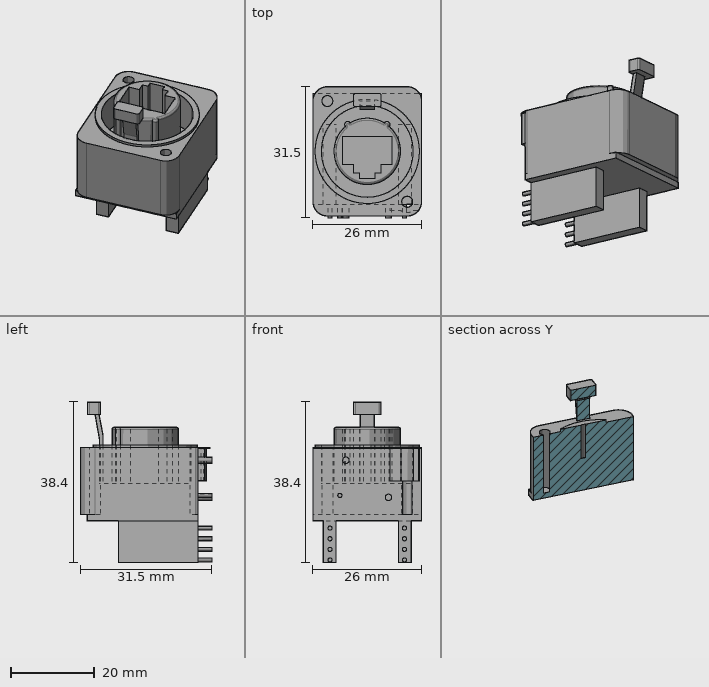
import cadquery as cq

body_bottom = 10.0
base_top = 11.52
cavity_floor = 18.97
lock_block_bottom = 19.55
flange_bottom = 27.25
flange_top = 27.57
rim_top = 28.2
sleeve_top = 32.4
button_bottom = 35.45
button_top = 38.4

flange_width = 26.0
flange_depth = 31.0
corner_radius = 3.45

front_face = -12.67
base_back = 13.9

rim_radius = 12.48
cavity_radius = 11.0
sleeve_radius = 7.95
sleeve_edge_radius = 0.5
key_radius = 0.73
key_x = 4.7

screw_x = flange_width / 2 - corner_radius
screw_y = flange_depth / 2 - corner_radius
screw_radius = 1.3

lock_left = 5.45
lock_right = 12.45
lock_front = -14.17
lock_bulge_radius = 2.6

socket_back = 3.57
socket_steps = [(11.9, -3.2), (6.6, -5.22), (3.7, -6.53)]

stem_width = 3.38
stem_thickness = 0.9
stem_back = 10.95
stem_front_bend = 30.4
stem_back_bend = 29.35
stem_top_front = 11.02
stem_top_back = 12.0
button_width = 6.65
button_front = 10.68
button_back = 13.85
button_corner_radius = 0.5

leg_width = 3.1
leg_centre_x = 9.0
leg_back = 6.4
overall_depth = 31.5
pin_tip = flange_depth / 2 - overall_depth
contact_radius = 0.5
contact_x = 8.9
contact_count = 4
contact_pitch = 2.55
lowest_contact = 0.65
peg_radius = 0.75
body_pins = [(-5.1, 24.5, peg_radius), (5.05, 15.63, peg_radius), (-6.55, 16.1, contact_radius)]


def box(x0, x1, y0, y1, z0, z1):
    """Box between two opposite corners."""
    return cq.Workplane("XY").box(x1 - x0, y1 - y0, z1 - z0, centered=False).translate((x0, y0, z0))


def post(x, y, radius, z0, z1):
    """Upright cylinder between two heights."""
    return cq.Workplane("XY", origin=(x, y, z0)).circle(radius).extrude(z1 - z0)


def flange_prism(z0, z1):
    """Prism with the rounded flange outline."""
    block = cq.Workplane("XY", origin=(0, 0, z0)).rect(flange_width, flange_depth).extrude(z1 - z0)
    return block.edges("|Z").fillet(corner_radius)


def make_housing():
    """Flange, rounded body set back at the front, base slab and raised rim."""
    half_width = flange_width / 2
    front_trim = box(-half_width, half_width, -flange_depth / 2, front_face, base_top, flange_bottom)
    body = flange_prism(base_top, flange_top).cut(front_trim)
    base = box(-half_width, half_width, front_face, base_back, body_bottom, base_top)
    rim = post(0, 0, rim_radius, flange_top, rim_top)
    return body.union(base).union(rim)


def make_lock_block():
    """Block with a rounded bulge around the screw, trimmed by the flange outline."""
    block = box(lock_left, lock_right, lock_front, front_face, lock_block_bottom, flange_bottom)
    bulge = post(screw_x, -screw_y, lock_bulge_radius, lock_block_bottom, flange_bottom)
    return block.union(bulge).intersect(flange_prism(lock_block_bottom, flange_bottom))


def make_sleeve():
    """Round sleeve with two small keys, its whole top edge rounded."""
    sleeve = post(0, 0, sleeve_radius, cavity_floor, sleeve_top)
    key_y = (sleeve_radius**2 - key_x**2) ** 0.5
    for x in (-key_x, key_x):
        sleeve = sleeve.union(post(x, key_y, key_radius, cavity_floor, sleeve_top))
    return sleeve.faces(">Z").edges().fillet(sleeve_edge_radius)


def make_socket():
    """Stepped socket opening, sunk to the level of the cavity floor."""
    socket = cq.Workplane("XY")
    for width, front in socket_steps:
        socket = socket.union(box(-width / 2, width / 2, front, socket_back, cavity_floor, sleeve_top))
    return socket


def make_latch():
    """Bent stem, slightly thicker in its leaning part, rising from the cavity floor to the button."""
    stem_front = stem_back - stem_thickness
    stem = (
        cq.Workplane("YZ", origin=(-stem_width / 2, 0, 0))
        .moveTo(stem_front, cavity_floor)
        .lineTo(stem_back, cavity_floor)
        .lineTo(stem_back, stem_back_bend)
        .lineTo(stem_top_back, button_bottom)
        .lineTo(stem_top_front, button_bottom)
        .lineTo(stem_front, stem_front_bend)
        .close()
        .extrude(stem_width)
    )
    half_width = button_width / 2
    button = box(-half_width, half_width, button_front, button_back, button_bottom, button_top)
    return stem.union(button.edges("|Z").fillet(button_corner_radius))


def make_pin(x, z, radius):
    """Pin pointing forward, rooted at the front face."""
    return cq.Workplane("XZ", origin=(x, front_face, z)).circle(radius).extrude(front_face - pin_tip)


def make_leg(side):
    """Leg on one side of the body with its column of contact pins."""
    centre = side * leg_centre_x
    half_width = leg_width / 2
    leg = box(centre - half_width, centre + half_width, front_face, leg_back, 0, body_bottom)
    for i in range(contact_count):
        leg = leg.union(make_pin(side * contact_x, lowest_contact + i * contact_pitch, contact_radius))
    return leg


result = make_housing().union(make_lock_block())
result = result.cut(post(0, 0, cavity_radius, cavity_floor, rim_top))
for side in (-1, 1):
    result = result.cut(post(side * screw_x, -side * screw_y, screw_radius, base_top, flange_top))
result = result.union(make_sleeve()).cut(make_socket()).union(make_latch())
for side in (-1, 1):
    result = result.union(make_leg(side))
for x, z, radius in body_pins:
    result = result.union(make_pin(x, z, radius))